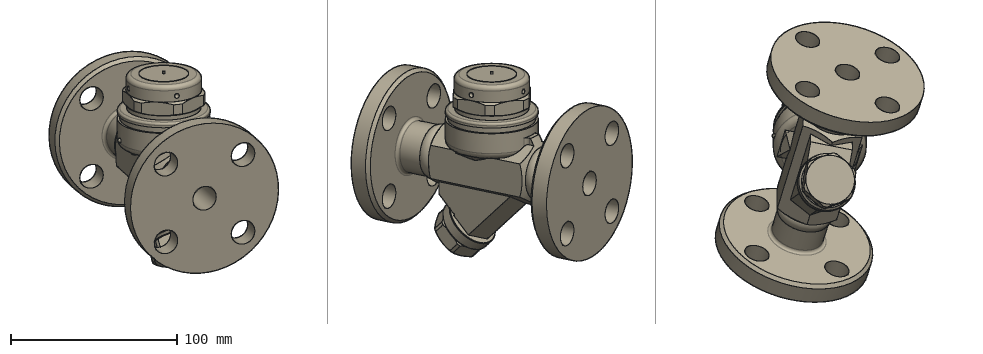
import cadquery as cq
import math

OVERALL_LENGTH = 140.0
SQRT3 = math.sqrt(3)
ROOT_HALF = math.sqrt(0.5)

flange_diameter = 95.0
flange_thickness = 12.5
flange_chamfer = 2.1
bolt_circle_diameter = 70.0
bolt_hole_diameter = 15.0
bolt_count = 4
bolt_start_angle = 45
port_diameter = 15.0
port_depth = 28.0
pipe_radius = 16.0
pipe_root_fillet = 2.1
bead_radius = 17.1
bead_start = 41.3
bead_crest = 38.1

block_across_flats = 36.7
block_end = 34.7
block_end_radius = 16.4

lug_top = 22.7
lug_half_width = 4.8
lug_root_half_width = 6.7
lug_flare_start = 30.2
lug_flare_radius = 2.5

drum_radius = 28.0
drum_top = 28.1
drum_bottom = 11.2
drum_corner_fillet = 4.3
gusset_tip = 6.7
gusset_reach = 5.6
gusset_half_width = 10.4
seat_diameter = 53.0
seat_top = 31.8
stud_diameter = 3.0
stud_height = 17.4

leg_offset = 17.5
leg_across_flats = 25.8
leg_start = -8.4
leg_end = 36.8
web_end = 36.1
web_right = 29.5
web_top = -7.0
plug_flange_radius = 17.2
plug_flange_end = 43.7
plug_flange_front_chamfer = 0.4
plug_flange_back_chamfer = 1.4
plug_hex_across_flats = 29.7
plug_hex_corner_radius = 16.5
plug_end = 54.6

rim_radius = drum_radius
rim_top = 34.7
rim_fillet = 1.5
neck_radius = 22.4
nut_bottom = 37.5
nut_top = 46.2
nut_across_flats = 45.8
nut_corner_radius = 24.9
cap_diameter = 45.5
cap_top = 56.4
cap_fillet = 3.0
disc_radius = 15.0
disc_top = 56.7
nub_radius = 0.8
nub_top = 58.0
dimple_diameter = 3.0
dimple_height = 49.7
dimple_count = 4


UPRIGHT = cq.Plane.XY()
LEG_PLANE = cq.Plane(
    origin=(-leg_offset * ROOT_HALF, 0, -leg_offset * ROOT_HALF),
    xDir=(1, 0, 1),
    normal=(1, 0, -1),
)


def hex_corner_diameter(across_flats):
    return 2 * across_flats / SQRT3


def cylinder(radius, bottom, top, plane=UPRIGHT):
    return cq.Workplane(plane).workplane(offset=bottom).circle(radius).extrude(top - bottom)


def rounded_hex(plane, across_flats, corner_radius, bottom, top):
    """Hexagon turned down to corner_radius, both ends bevelled at 30 degrees down to the flats."""
    bevel_width = corner_radius - across_flats / 2
    bevel_height = bevel_width / SQRT3
    turned = (
        cq.Workplane(cq.Plane(plane.origin, plane.xDir, -plane.yDir))
        .moveTo(0, bottom)
        .lineTo(across_flats / 2, bottom)
        .lineTo(corner_radius, bottom + bevel_height)
        .lineTo(corner_radius, top - bevel_height)
        .lineTo(across_flats / 2, top)
        .lineTo(0, top)
        .close()
        .revolve()
    )
    prism = (
        cq.Workplane(plane)
        .workplane(offset=bottom)
        .polygon(6, hex_corner_diameter(across_flats))
        .extrude(top - bottom)
    )
    return prism.intersect(turned)


def pipe_end():
    """Flange, stub pipe and weld bead on the -X side, revolved about the X axis."""
    flange_radius = flange_diameter / 2
    outer_face = -OVERALL_LENGTH / 2
    inner_face = outer_face + flange_thickness
    end = (
        cq.Workplane("XZ")
        .moveTo(outer_face, 0)
        .lineTo(outer_face, flange_radius)
        .lineTo(inner_face - flange_chamfer, flange_radius)
        .lineTo(inner_face, flange_radius - flange_chamfer)
        .lineTo(inner_face, pipe_radius + pipe_root_fillet)
        .radiusArc((inner_face + pipe_root_fillet, pipe_radius), -pipe_root_fillet)
        .lineTo(-bead_start, pipe_radius)
        .threePointArc((-bead_crest, bead_radius), (-block_end, block_end_radius))
        .lineTo(-block_end, 0)
        .close()
        .revolve(360, (0, 0, 0), (1, 0, 0))
    )
    bolt_holes = (
        cq.Workplane("YZ", origin=(outer_face, 0, 0))
        .polarArray(bolt_circle_diameter / 2, bolt_start_angle, 360, bolt_count)
        .circle(bolt_hole_diameter / 2)
        .extrude(flange_thickness)
    )
    port = cq.Workplane("YZ", origin=(outer_face, 0, 0)).circle(port_diameter / 2).extrude(port_depth)
    return end.cut(bolt_holes).cut(port)


def locating_lug():
    """Lug above the block ridge, flaring out where it meets the drum."""
    flare_end = math.sqrt(drum_radius**2 - lug_root_half_width**2)
    return (
        cq.Workplane("XY")
        .moveTo(-block_end, -lug_half_width)
        .lineTo(-lug_flare_start, -lug_half_width)
        .radiusArc((-flare_end, -lug_root_half_width), lug_flare_radius)
        .lineTo(-flare_end, lug_root_half_width)
        .radiusArc((-lug_flare_start, lug_half_width), lug_flare_radius)
        .lineTo(-block_end, lug_half_width)
        .close()
        .extrude(lug_top)
    )


def centre_block():
    """Hexagonal bar and lug, with both ends turned to 60 degree cones."""
    bar = (
        cq.Workplane("YZ", origin=(-block_end, 0, 0))
        .transformed(rotate=(0, 0, 90))
        .polygon(6, hex_corner_diameter(block_across_flats))
        .extrude(2 * block_end)
    )
    envelope_radius = block_end_radius + block_end * SQRT3
    envelope = (
        cq.Workplane("XZ")
        .moveTo(-block_end, 0)
        .lineTo(-block_end, block_end_radius)
        .lineTo(0, envelope_radius)
        .lineTo(block_end, block_end_radius)
        .lineTo(block_end, 0)
        .close()
        .revolve(360, (0, 0, 0), (1, 0, 0))
    )
    return bar.union(locating_lug()).intersect(envelope)


def drum():
    """Round housing with the cover seat and the locating stud."""
    shell = (
        cq.Workplane("XZ")
        .moveTo(0, drum_bottom)
        .lineTo(drum_radius - drum_corner_fillet, drum_bottom)
        .radiusArc((drum_radius, drum_bottom + drum_corner_fillet), -drum_corner_fillet)
        .lineTo(drum_radius, drum_top)
        .lineTo(seat_diameter / 2, drum_top)
        .lineTo(seat_diameter / 2, seat_top)
        .lineTo(0, seat_top)
        .close()
        .revolve(360, (0, 0, 0), (0, 1, 0))
    )
    stud = cq.Workplane("XY", origin=(0, -drum_radius, stud_height)).sphere(stud_diameter / 2)
    return shell.union(stud)


def drum_gusset():
    """V-shaped gusset under the drum on the -Y flat, sloping outwards and upwards."""
    flat = -block_across_flats / 2
    v_block = (
        cq.Workplane("XZ")
        .moveTo(0, gusset_tip)
        .lineTo(gusset_half_width, drum_bottom)
        .lineTo(-gusset_half_width, drum_bottom)
        .close()
        .extrude(gusset_reach - flat)
    )
    slope = (
        cq.Workplane("YZ")
        .moveTo(0, gusset_tip)
        .lineTo(flat, gusset_tip)
        .lineTo(flat - gusset_reach, drum_bottom)
        .lineTo(0, drum_bottom)
        .close()
        .extrude(gusset_half_width, both=True)
    )
    return v_block.intersect(slope)


def strainer_leg():
    """Hexagonal leg and the web that joins it to the underside of the block."""
    leg = (
        cq.Workplane(LEG_PLANE)
        .workplane(offset=leg_start)
        .polygon(6, hex_corner_diameter(leg_across_flats))
        .extrude(leg_end - leg_start)
    )
    axis_start = -leg_offset * ROOT_HALF
    web_reach = web_end * ROOT_HALF
    web = (
        cq.Workplane("XZ")
        .moveTo(axis_start, axis_start)
        .lineTo(axis_start, web_top)
        .lineTo(web_right, web_top)
        .lineTo(web_right, web_right - 2 * web_reach)
        .lineTo(axis_start + web_reach, axis_start - web_reach)
        .close()
        .extrude(leg_across_flats / 2, both=True)
    )
    return leg.union(web)


def strainer_plug():
    """Round flange, tapered behind, followed by the hexagonal head."""
    taper_end = plug_flange_end + plug_flange_back_chamfer
    flange = (
        cylinder(plug_flange_radius, leg_end, taper_end, LEG_PLANE)
        .faces(cq.selectors.DirectionMinMaxSelector(LEG_PLANE.zDir, True))
        .chamfer(plug_flange_back_chamfer)
        .faces(cq.selectors.DirectionMinMaxSelector(LEG_PLANE.zDir, False))
        .chamfer(plug_flange_front_chamfer)
    )
    head = rounded_hex(LEG_PLANE, plug_hex_across_flats, plug_hex_corner_radius, taper_end, plug_end)
    return flange.union(head)


def make_valve_body():
    upstream_end = pipe_end()
    front_gusset = drum_gusset()
    return (
        centre_block()
        .union(drum())
        .union(front_gusset)
        .union(front_gusset.mirror("XZ"))
        .union(strainer_leg())
        .union(strainer_plug())
        .union(upstream_end)
        .union(upstream_end.mirror("YZ"))
    )


def make_cover():
    rim = cylinder(rim_radius, seat_top, rim_top).faces(">Z").edges().fillet(rim_fillet)
    neck = cylinder(neck_radius, rim_top, nut_bottom)
    nut = rounded_hex(UPRIGHT, nut_across_flats, nut_corner_radius, nut_bottom, nut_top)
    cap = cylinder(cap_diameter / 2, nut_top, cap_top).faces(">Z").edges().fillet(cap_fillet)
    disc = cylinder(disc_radius, cap_top, disc_top)
    nub = cylinder(nub_radius, disc_top, nub_top)
    dimples = (
        cq.Workplane("XY", origin=(0, 0, dimple_height))
        .polarArray(cap_diameter / 2, 0, 360, dimple_count)
        .sphere(dimple_diameter / 2)
    )
    return rim.union(neck).union(nut).union(cap).union(disc).union(nub).cut(dimples)


valve_body = make_valve_body()
cover = make_cover()

result = cq.Compound.makeCompound([valve_body.val(), cover.val()])